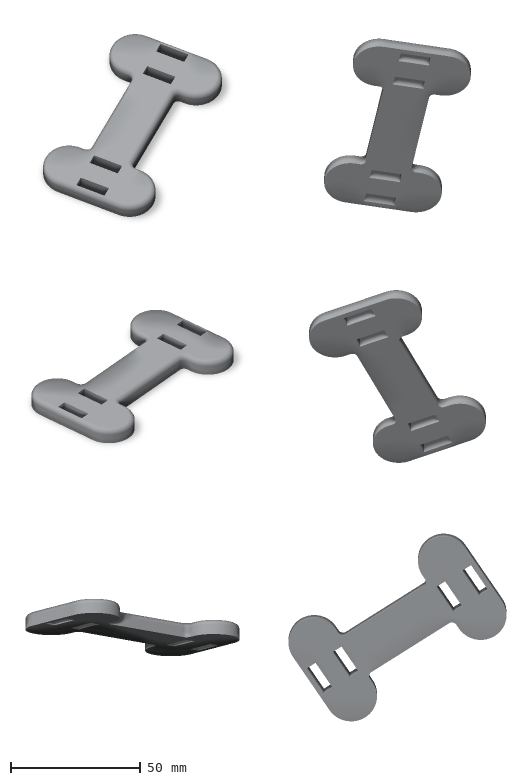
import cadquery as cq

length = 80.0
width = 46.0
thickness = 6.0

pad_depth = 20.0
bar_width = 18.0
inner_corner_radius = 2.0
edge_radius = 2.0

slot_width = 12.0
slot_depth = 4.0
slot_offset = 6.0

pad_center = (length - pad_depth) / 2


def make_plate():
    """Dog-bone plate with its whole top edge rounded."""
    plate = cq.Workplane("XY").rect(bar_width, 2 * pad_center).extrude(thickness)
    pads = (
        cq.Workplane("XY")
        .pushPoints([(0, -pad_center), (0, pad_center)])
        .slot2D(width, pad_depth)
        .extrude(thickness)
    )
    plate = plate.union(pads)

    corner_x = bar_width / 2
    corner_y = pad_center - pad_depth / 2
    for x in (-corner_x, corner_x):
        for y in (-corner_y, corner_y):
            corner = cq.selectors.NearestToPointSelector((x, y, thickness / 2))
            plate = plate.edges(corner).fillet(inner_corner_radius)

    return plate.faces(">Z").edges().fillet(edge_radius)


def make_slots():
    """Rectangular cutters passing through both pads."""
    centers = [
        (0, pad_side * pad_center + slot_side * slot_offset)
        for pad_side in (-1, 1)
        for slot_side in (-1, 1)
    ]
    return cq.Workplane("XY").pushPoints(centers).rect(slot_width, slot_depth).extrude(thickness)


result = make_plate().cut(make_slots())